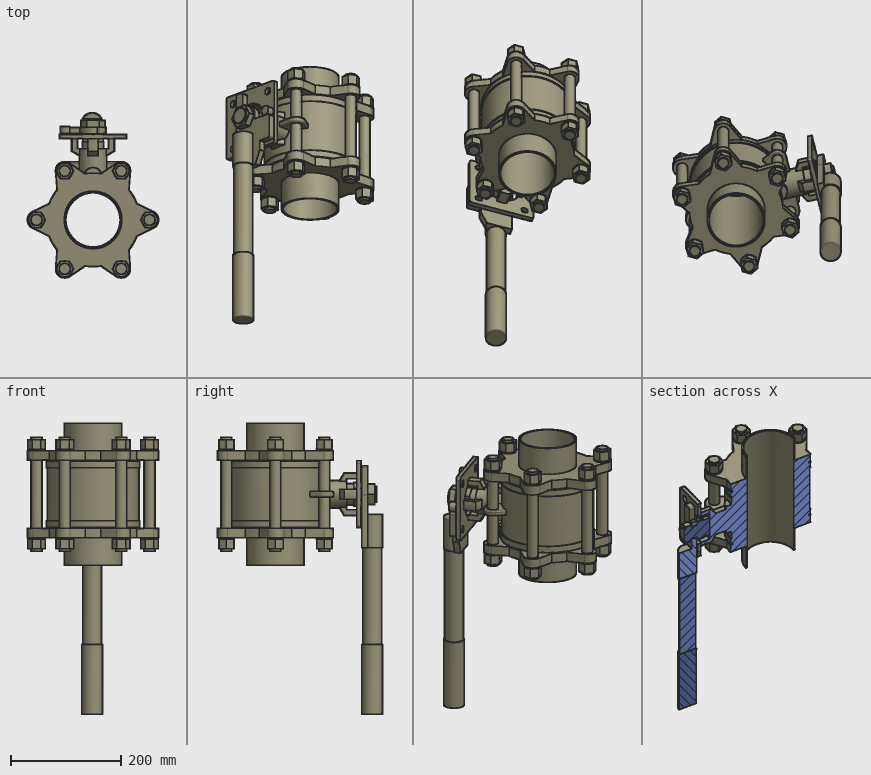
import cadquery as cq
import math


OVERALL_WIDTH = 238.5
OVERALL_DEPTH = 300.5
OVERALL_HEIGHT = 528.5

PIPE_RADIUS = 52.5
BORE_RADIUS = 49.0
PIPE_HALF_LENGTH = 129.0
SHELL_RADIUS = 83.5
RIM_RADIUS = 85.0
RIM_INNER_Z = 48.0
RIM_OUTER_Z = 60.5
SPIGOT_RADIUS = 81.5

FLANGE_INNER_Z = 62.0
FLANGE_OUTER_Z = 79.5
FLANGE_RADIUS = 85.0
LOBE_COUNT = 6
LOBE_PITCH = 360 / LOBE_COUNT
LOBE_CIRCLE_RADIUS = 102.5
LOBE_RADIUS = OVERALL_WIDTH / 2 - LOBE_CIRCLE_RADIUS
LOBE_ROOT_HALF_ANGLE = 20.3

STUD_RADIUS = 10.0
STUD_HALF_LENGTH = 103.5
NUT_ACROSS_CORNERS = 32.0
NUT_FACE_RADIUS = 14.5
NUT_FACE_THICKNESS = 2.0
NUT_THICKNESS = 18.0

EAR_RADIUS = 17.0
EAR_THICKNESS = 10.0
EAR_ROUNDING = 2.5
EAR_ANGLES = (LOBE_PITCH, 2 * LOBE_PITCH)

NECK_RADIUS = 25.5
NECK_END_Y = 129.5
PAD_RADIUS = 16.0
PAD_CENTRE_Y = 79.5
PAD_HALF_HEIGHT = 31.5
ARM_OUTER = 39.0
ARM_INNER = 29.5
ARM_WIDTH = 18.5
ARM_KNEE_Y = 125.0
ARM_ROOT_Y = 117.0

PLATE_SIZE = 122.0
PLATE_NEAR_Y = 147.5
PLATE_FAR_Y = 155.5
PLATE_CORNER_RADIUS = 5.0
PLATE_CORNER_HOLE_RADIUS = 6.5
PLATE_CORNER_HOLE_OFFSET = 44.0
PLATE_CENTRE_HOLE_RADIUS = 31.0

STEM_RADIUS = 15.0
STEM_COLLAR_RADIUS = 19.5
STEM_COLLAR_END_Y = 142.0
HEXAGON_TURN = 30
STEM_HEX_ACROSS_CORNERS = 43.5
STEM_NUT_ACROSS_CORNERS = 44.0
STEM_NUT_END_Y = 181.0
STEM_END_Y = 184.0

LEVER_NEAR_Y = 156.5
LEVER_FAR_Y = 168.0
LEVER_HUB_RADIUS = 24.0
LEVER_LUG_X = 7.5
LEVER_LUG_TOP_Z = 52.0
LEVER_WING_X = -60.0
LEVER_WING_TOP_Z = -8.0
LEVER_WING_BOTTOM_Z = -54.5
LEVER_TAPER_X = -36.5
LEVER_TAPER_Z = -72.5
LEVER_FOOT_LEFT_X = -25.5
LEVER_FOOT_RIGHT_X = 22.5
LEVER_BOTTOM_Z = -97.5
LEVER_CORNER_RADIUS = 3.0
STOP_PIN_RADIUS = 9.0
STOP_PIN_X = -51.0
STOP_PIN_END_Y = 169.5

GRIP_RADIUS = 19.0
HANDLE_X = -1.5
FRONT_Y = -LOBE_CIRCLE_RADIUS * math.sin(math.radians(LOBE_PITCH)) - LOBE_RADIUS
HANDLE_Y = FRONT_Y + OVERALL_DEPTH - GRIP_RADIUS
HANDLE_RADIUS = 17.5
SOCKET_TOP_Z = -36.0
GRIP_TOP_Z = -272.5
GRIP_BOTTOM_Z = PIPE_HALF_LENGTH - OVERALL_HEIGHT
EDGE_ROUNDING = 1.5


def cylinder_z(radius, z_low, z_high, x=0, y=0):
    return cq.Workplane("XY", origin=(x, y, z_low)).circle(radius).extrude(z_high - z_low)


def facing_y(y):
    """Workplane at the given Y whose local axes are X and Z and whose extrusions run toward -Y."""
    return cq.Workplane("XZ", origin=(0, y, 0))


def cylinder_y(radius, y_near, y_far, x=0):
    return facing_y(y_far).center(x, 0).circle(radius).extrude(y_far - y_near)


def hexagon_y(across_corners, y_near, y_far):
    return facing_y(y_far).polygon(6, across_corners).extrude(y_far - y_near)


def polar(radius, angle):
    return radius * math.cos(math.radians(angle)), radius * math.sin(math.radians(angle))


def mirrored_pair(solid):
    return solid.union(solid.mirror("XY"))


def stud_centres():
    return [polar(LOBE_CIRCLE_RADIUS, i * LOBE_PITCH) for i in range(LOBE_COUNT)]


def flange_lobe():
    """One lobe along +X: a rounded tip joined to the flange disc by its tangent lines."""
    root_x, root_y = polar(FLANGE_RADIUS, LOBE_ROOT_HALF_ANGLE)
    run = LOBE_CIRCLE_RADIUS - root_x
    to_root = math.degrees(math.atan2(root_y, -run))
    tangent_angle = to_root - math.degrees(math.acos(LOBE_RADIUS / math.hypot(run, root_y)))
    touch_x, touch_y = polar(LOBE_RADIUS, tangent_angle)
    touch_x += LOBE_CIRCLE_RADIUS
    return (
        cq.Workplane("XY", origin=(0, 0, FLANGE_INNER_Z))
        .moveTo(0, 0)
        .lineTo(root_x, -root_y)
        .lineTo(touch_x, -touch_y)
        .threePointArc((LOBE_CIRCLE_RADIUS + LOBE_RADIUS, 0), (touch_x, touch_y))
        .lineTo(root_x, root_y)
        .close()
        .extrude(FLANGE_OUTER_Z - FLANGE_INNER_Z)
    )


def flange():
    plate = cylinder_z(FLANGE_RADIUS, FLANGE_INNER_Z, FLANGE_OUTER_Z)
    lobe = flange_lobe()
    for i in range(LOBE_COUNT):
        plate = plate.union(lobe.rotate((0, 0, 0), (0, 0, 1), i * LOBE_PITCH))
    return plate


def stud_nut(x, y):
    seat = FLANGE_OUTER_Z + NUT_FACE_THICKNESS
    washer_face = cylinder_z(NUT_FACE_RADIUS, FLANGE_OUTER_Z, seat, x, y)
    hexagon = cq.Workplane("XY", origin=(x, y, seat)).polygon(6, NUT_ACROSS_CORNERS).extrude(NUT_THICKNESS)
    return washer_face.union(hexagon)


def stud(x, y):
    rod = cylinder_z(STUD_RADIUS, -STUD_HALF_LENGTH, STUD_HALF_LENGTH, x, y)
    return rod.union(mirrored_pair(stud_nut(x, y)))


def ears():
    """Round-edged radial arms to the two studs beside the neck, with a straight web between them."""
    low, high = -EAR_THICKNESS / 2, EAR_THICKNESS / 2
    tip_x, tip_y = polar(LOBE_CIRCLE_RADIUS, LOBE_PITCH)
    web = cq.Workplane("XY").box(2 * tip_x, tip_y + EAR_RADIUS, EAR_THICKNESS, centered=(True, False, True))
    for angle in EAR_ANGLES:
        x, y = polar(LOBE_CIRCLE_RADIUS, angle)
        arm = cq.Workplane("XY").box(
            LOBE_CIRCLE_RADIUS, 2 * EAR_RADIUS, EAR_THICKNESS, centered=(False, True, True)
        )
        web = web.union(arm.rotate((0, 0, 0), (0, 0, 1), angle))
        web = web.union(cylinder_z(EAR_RADIUS, low, high, x, y))
    web = web.union(cylinder_z(SPIGOT_RADIUS, low, high)).clean()
    return web.faces("|Z").edges().fillet(EAR_ROUNDING)


def mounting_arms():
    """Four cranked arms cut from a turned cup around the neck, reaching the mounting plate."""
    cup = (
        cq.Workplane("XY")
        .polyline(
            [
                (0, ARM_ROOT_Y),
                (NECK_RADIUS, ARM_ROOT_Y),
                (ARM_OUTER, ARM_KNEE_Y),
                (ARM_OUTER, PLATE_NEAR_Y),
                (ARM_INNER, PLATE_NEAR_Y),
                (ARM_INNER, NECK_END_Y),
                (0, NECK_END_Y),
            ]
        )
        .close()
        .revolve(360, (0, 0, 0), (0, 1, 0))
    )
    bar = facing_y(PLATE_NEAR_Y).rect(2 * ARM_OUTER, ARM_WIDTH).extrude(PLATE_NEAR_Y - ARM_ROOT_Y)
    cross = bar.union(bar.rotate((0, 0, 0), (0, 1, 0), 90))
    return cup.intersect(cross)


def neck():
    post = cylinder_y(NECK_RADIUS, 0, NECK_END_Y)
    post = post.union(cylinder_z(PAD_RADIUS, -PAD_HALF_HEIGHT, PAD_HALF_HEIGHT, 0, PAD_CENTRE_Y))
    return post.union(mounting_arms())


def make_valve():
    body = cylinder_z(PIPE_RADIUS, -PIPE_HALF_LENGTH, PIPE_HALF_LENGTH)
    body = body.union(cylinder_z(SHELL_RADIUS, -RIM_INNER_Z, RIM_INNER_Z))
    body = body.union(mirrored_pair(cylinder_z(RIM_RADIUS, RIM_INNER_Z, RIM_OUTER_Z)))
    body = body.union(cylinder_z(SPIGOT_RADIUS, -FLANGE_INNER_Z, FLANGE_INNER_Z))
    body = body.union(mirrored_pair(flange()))
    body = body.union(ears())
    body = body.union(neck())
    for x, y in stud_centres():
        body = body.union(stud(x, y))
    return body.cut(cylinder_z(BORE_RADIUS, -PIPE_HALF_LENGTH, PIPE_HALF_LENGTH))


def make_mounting_plate():
    plate = facing_y(PLATE_FAR_Y).rect(PLATE_SIZE, PLATE_SIZE).extrude(PLATE_FAR_Y - PLATE_NEAR_Y)
    plate = plate.edges("|Y").fillet(PLATE_CORNER_RADIUS)
    hole_spacing = 2 * PLATE_CORNER_HOLE_OFFSET
    holes = (
        facing_y(PLATE_FAR_Y)
        .rect(hole_spacing, hole_spacing, forConstruction=True)
        .vertices()
        .circle(PLATE_CORNER_HOLE_RADIUS)
        .extrude(PLATE_FAR_Y - PLATE_NEAR_Y)
    )
    return plate.cut(holes).cut(cylinder_y(PLATE_CENTRE_HOLE_RADIUS, PLATE_NEAR_Y, PLATE_FAR_Y))


def make_stem():
    stem = cylinder_y(STEM_RADIUS, NECK_END_Y, STEM_END_Y)
    stem = stem.union(cylinder_y(STEM_COLLAR_RADIUS, NECK_END_Y, STEM_COLLAR_END_Y))
    shoulder = hexagon_y(STEM_HEX_ACROSS_CORNERS, STEM_COLLAR_END_Y, LEVER_NEAR_Y)
    shoulder = shoulder.rotate((0, 0, 0), (0, 1, 0), HEXAGON_TURN)
    nut = hexagon_y(STEM_NUT_ACROSS_CORNERS, LEVER_FAR_Y, STEM_NUT_END_Y)
    return stem.union(shoulder).union(nut)


def lever_plate():
    """Flat plate with a lug above the hub, a stop wing at its left and a tapered foot."""
    thickness = LEVER_FAR_Y - LEVER_NEAR_Y
    plate = (
        facing_y(LEVER_FAR_Y)
        .polyline(
            [
                (LEVER_LUG_X, LEVER_LUG_TOP_Z),
                (LEVER_LUG_X, LEVER_WING_TOP_Z),
                (LEVER_WING_X, LEVER_WING_TOP_Z),
                (LEVER_WING_X, LEVER_WING_BOTTOM_Z),
                (LEVER_TAPER_X, LEVER_WING_BOTTOM_Z),
                (LEVER_TAPER_X, LEVER_TAPER_Z),
                (LEVER_FOOT_LEFT_X, LEVER_BOTTOM_Z),
                (LEVER_FOOT_RIGHT_X, LEVER_BOTTOM_Z),
                (LEVER_HUB_RADIUS, 0),
                (LEVER_HUB_RADIUS, LEVER_LUG_TOP_Z),
            ]
        )
        .close()
        .extrude(thickness)
    )
    plate = plate.edges("|Y and (<X or >Z)").fillet(LEVER_CORNER_RADIUS)
    return plate.union(cylinder_y(LEVER_HUB_RADIUS, LEVER_NEAR_Y, LEVER_FAR_Y))


def handle_socket():
    """Round boss that runs through the foot of the lever and carries the handle at its lower end."""
    boss = cylinder_z(GRIP_RADIUS, LEVER_BOTTOM_Z, SOCKET_TOP_Z, HANDLE_X, HANDLE_Y)
    return boss.faces(">Z").edges().fillet(EDGE_ROUNDING)


def make_lever():
    lever = lever_plate().union(handle_socket())
    lever = lever.union(cylinder_y(STOP_PIN_RADIUS, LEVER_NEAR_Y, STOP_PIN_END_Y, STOP_PIN_X))
    return lever.cut(cylinder_y(STEM_RADIUS, LEVER_NEAR_Y, LEVER_FAR_Y))


def make_handle():
    return cylinder_z(HANDLE_RADIUS, GRIP_TOP_Z, LEVER_BOTTOM_Z, HANDLE_X, HANDLE_Y)


def make_grip():
    grip = cylinder_z(GRIP_RADIUS, GRIP_BOTTOM_Z, GRIP_TOP_Z, HANDLE_X, HANDLE_Y)
    return grip.faces("|Z").edges().fillet(EDGE_ROUNDING)


valve = make_valve()
mounting_plate = make_mounting_plate()
stem = make_stem()
lever = make_lever()
handle = make_handle()
grip = make_grip()

result = cq.Compound.makeCompound(
    [valve.val(), mounting_plate.val(), stem.val(), lever.val(), handle.val(), grip.val()]
)